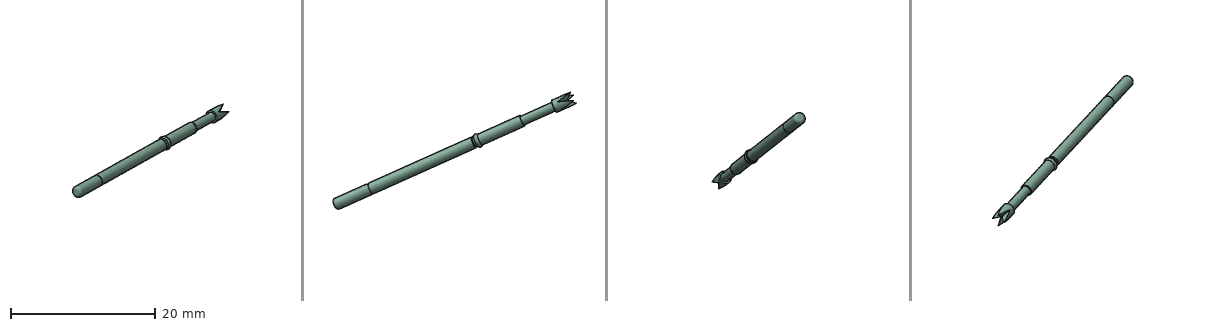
import cadquery as cq
import math

overall_length = 37.0

head_diameter = 1.85
head_length = 3.0
plunger_diameter = 1.35
plunger_length = 4.95
tooth_count = 4
rim_depth = 2.2
hub_depth = 1.05

tube_diameter = 1.65
tail_radius = 0.45
collar_diameter = 2.0
collar_length = 0.6
collar_top = 22.5

crimp_position = 5.5
crimp_length = 0.5
crimp_depth = 0.2
neck_roll_length = 0.3
neck_depth = 0.2
neck_shoulder_length = 0.1

head_radius = head_diameter / 2
tube_radius = tube_diameter / 2
head_base = overall_length - head_length
tube_top = head_base - plunger_length
collar_base = collar_top - collar_length

half_pitch = math.pi / tooth_count
gap_slope = (rim_depth - hub_depth) / head_radius
flank_slope = (hub_depth / head_radius + gap_slope * math.cos(half_pitch)) / math.sin(half_pitch)


def cylinder(diameter, start, end):
    """Solid cylinder on the Y axis between two positions."""
    return cq.Workplane("XZ", origin=(0, start, 0)).circle(diameter / 2).extrude(start - end)


def roll_middle(smooth_end, sharp_end):
    """Middle point of an arc that leaves the tube surface smoothly and ends at a sharp bottom."""
    depth = smooth_end[0] - sharp_end[0]
    length = abs(smooth_end[1] - sharp_end[1])
    radius = (depth**2 + length**2) / (2 * depth)
    half_angle = math.asin(length / radius) / 2
    direction = math.copysign(1, sharp_end[1] - smooth_end[1])
    return (
        smooth_end[0] - radius * (1 - math.cos(half_angle)),
        smooth_end[1] + direction * radius * math.sin(half_angle),
    )


def tube():
    """Tube turned from its half profile, followed from the tail to the open end."""
    crimp_start = (tube_radius, crimp_position - crimp_length / 2)
    crimp_bottom = (tube_radius - crimp_depth, crimp_position)
    crimp_end = (tube_radius, crimp_position + crimp_length / 2)
    neck_bottom = (tube_radius - neck_depth, collar_base - neck_roll_length)
    neck_end = (tube_radius, collar_base)
    profile = (
        cq.Workplane("XY")
        .lineTo(tube_radius - tail_radius, 0)
        .radiusArc((tube_radius, tail_radius), -tail_radius)
        .lineTo(*crimp_start)
        .threePointArc(roll_middle(crimp_start, crimp_bottom), crimp_bottom)
        .threePointArc(roll_middle(crimp_end, crimp_bottom), crimp_end)
        .lineTo(tube_radius, neck_bottom[1] - neck_shoulder_length)
        .lineTo(*neck_bottom)
        .threePointArc(roll_middle(neck_end, neck_bottom), neck_end)
        .threePointArc((collar_diameter / 2, collar_base + collar_length / 2), (tube_radius, collar_top))
        .lineTo(tube_radius, tube_top)
        .lineTo(0, tube_top)
        .close()
    )
    return profile.revolve(360, (0, 0, 0), (0, 1, 0))


def gap_section(distance, half_width):
    """V across a tooth gap at a distance from the axis; its bottom sinks from the hub to the rim."""
    bottom = overall_length - hub_depth - gap_slope * distance
    top = bottom + flank_slope * half_width
    corners = [(0, bottom), (half_width, top), (-half_width, top)]
    outline = [cq.Vector(across, along, distance) for across, along in corners]
    return cq.Wire.makePolygon(outline, close=True)


def crown():
    """Head with V gaps cut outward from the axis, which leave pointed teeth on +-X and +-Z."""
    head = cylinder(head_diameter, head_base, overall_length)
    reach = head_diameter
    half_width = (hub_depth + gap_slope * reach) / flank_slope
    sections = [gap_section(0, half_width), gap_section(reach, half_width)]
    gap = cq.Workplane(cq.Solid.makeLoft(sections, True))
    for i in range(tooth_count):
        angle = (i + 0.5) * 360 / tooth_count
        head = head.cut(gap.rotate((0, 0, 0), (0, 1, 0), angle))
    return head


plunger = cylinder(plunger_diameter, tube_top, head_base)
result = tube().union(plunger).union(crown())